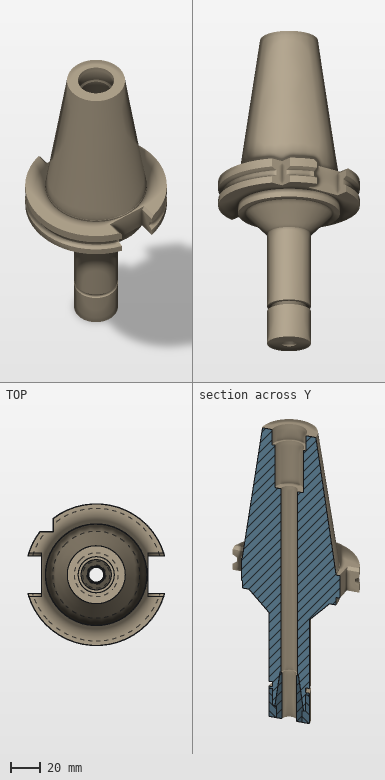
import cadquery as cq
import math


TOTAL_HEIGHT = 221.8

GAUGE_R = 34.8
TAPER_TOP = 101.8
TAPER_RATIO = 7 / 24
TAPER_END_R = GAUGE_R - TAPER_TOP * TAPER_RATIO / 2

COLLAR_R = 35.0
FLANGE_R = 48.8
FLANGE_TOP = -1.3
FLANGE_BOTTOM = -19.0
GROOVE_FLOOR_R = 45.7
GROOVE_MID = -10.9
GROOVE_FLOOR_WIDTH = 3.5
GROOVE_FLANK_ANGLE = 30
GROOVE_MOUTH_WIDTH = GROOVE_FLOOR_WIDTH + 2 * (FLANGE_R - GROOVE_FLOOR_R) * math.tan(
    math.radians(GROOVE_FLANK_ANGLE)
)

SLOT_WIDTH = 25.7
SLOT_CHAMFER = 2.0
SLOT_FLOOR_LEFT = -37.7
SLOT_FLOOR_RIGHT = 35.7
NOTCH_CORNER = 29.7

COLLAR_BOTTOM = -24.8
CONE_TOP_R = 30.0
SHANK_R = 15.0
CONE_BOTTOM = -40.0
NECK_TOP = -93.0
NECK_BOTTOM = -96.2
SHANK_BOTTOM = -98.2
STUB_R = 12.5
STUB_BOTTOM = -110.9

BORE_R = 12.5
BORE_DEPTH = 11.8
THREAD_R = 10.5
THREAD_DEPTH = 44.4
PASSAGE_R = 6.0

NUT_R = SHANK_R
NUT_BOTTOM = TAPER_TOP - TOTAL_HEIGHT
COLLET_TOP = -84.3
COLLET_TOP_R = 6.7
COLLET_SEAT_R = 10.5
COLLET_NOSE_R = 9.3
COLLET_BORE_R = 5.0


def turned(profile):
    """Solid of revolution about Z from a closed outline of (radius, height) points."""
    return cq.Workplane("XZ").polyline(profile).close().revolve(360, (0, 0, 0), (0, 1, 0))


def cylinder(radius, bottom, top):
    return cq.Workplane("XY").workplane(offset=bottom).circle(radius).extrude(top - bottom)


def drive_slot(floor_x):
    """Cutter running outward along X from the slot floor, with its upper edges flared."""
    half = SLOT_WIDTH / 2
    flared = half + SLOT_CHAMFER
    outline = [
        (-half, FLANGE_BOTTOM),
        (half, FLANGE_BOTTOM),
        (half, FLANGE_TOP - SLOT_CHAMFER),
        (flared, FLANGE_TOP),
        (-flared, FLANGE_TOP),
        (-half, FLANGE_TOP - SLOT_CHAMFER),
    ]
    reach = math.copysign(FLANGE_R, floor_x) - floor_x
    return cq.Workplane("YZ").workplane(offset=floor_x).polyline(outline).close().extrude(reach)


def rim_notch():
    """Square cutter whose inner corner is equally far from the X and Y axes."""
    return (
        cq.Workplane("XY")
        .workplane(offset=FLANGE_BOTTOM)
        .moveTo(-FLANGE_R, FLANGE_R)
        .lineTo(-NOTCH_CORNER, FLANGE_R)
        .lineTo(-NOTCH_CORNER, NOTCH_CORNER)
        .lineTo(-FLANGE_R, NOTCH_CORNER)
        .close()
        .extrude(FLANGE_TOP - FLANGE_BOTTOM)
    )


def make_flange():
    """Grooved disc with its drive slots and rim notch cut out."""
    mouth = GROOVE_MOUTH_WIDTH / 2
    floor = GROOVE_FLOOR_WIDTH / 2
    flange = turned([
        (0, FLANGE_BOTTOM),
        (FLANGE_R, FLANGE_BOTTOM),
        (FLANGE_R, GROOVE_MID - mouth),
        (GROOVE_FLOOR_R, GROOVE_MID - floor),
        (GROOVE_FLOOR_R, GROOVE_MID + floor),
        (FLANGE_R, GROOVE_MID + mouth),
        (FLANGE_R, FLANGE_TOP),
        (0, FLANGE_TOP),
    ])
    for floor_x in (SLOT_FLOOR_LEFT, SLOT_FLOOR_RIGHT):
        flange = flange.cut(drive_slot(floor_x))
    return flange.cut(rim_notch())


def collet_envelope():
    """Outer shape of the collet: a cone in the holder, then a straight nose in the nut."""
    return turned([
        (0, COLLET_TOP),
        (COLLET_TOP_R, COLLET_TOP),
        (COLLET_SEAT_R, STUB_BOTTOM),
        (COLLET_NOSE_R, STUB_BOTTOM),
        (COLLET_NOSE_R, NUT_BOTTOM),
        (0, NUT_BOTTOM),
    ])


def make_holder():
    """Taper, flange and shank in one piece, bored through and seated for the collet."""
    core = turned([
        (0, STUB_BOTTOM),
        (STUB_R, STUB_BOTTOM),
        (STUB_R, SHANK_BOTTOM),
        (SHANK_R, SHANK_BOTTOM),
        (SHANK_R, NECK_BOTTOM),
        (STUB_R, NECK_BOTTOM),
        (STUB_R, NECK_TOP),
        (SHANK_R, NECK_TOP),
        (SHANK_R, CONE_BOTTOM),
        (CONE_TOP_R, COLLAR_BOTTOM),
        (COLLAR_R, COLLAR_BOTTOM),
        (COLLAR_R, 0),
        (GAUGE_R, 0),
        (TAPER_END_R, TAPER_TOP),
        (0, TAPER_TOP),
    ])
    holder = core.union(make_flange())
    holder = holder.cut(cylinder(BORE_R, TAPER_TOP - BORE_DEPTH, TAPER_TOP))
    holder = holder.cut(cylinder(THREAD_R, TAPER_TOP - THREAD_DEPTH, TAPER_TOP))
    holder = holder.cut(cylinder(PASSAGE_R, COLLET_TOP, TAPER_TOP))
    return holder.cut(collet_envelope())


def make_nut():
    """Cap over the stub, butting against the shank end, open at the bottom for the collet."""
    return turned([
        (COLLET_NOSE_R, NUT_BOTTOM),
        (NUT_R, NUT_BOTTOM),
        (NUT_R, SHANK_BOTTOM),
        (STUB_R, SHANK_BOTTOM),
        (STUB_R, STUB_BOTTOM),
        (COLLET_NOSE_R, STUB_BOTTOM),
    ])


def make_collet():
    """Collet with a straight through bore, flush with the bottom of the nut."""
    return collet_envelope().cut(cylinder(COLLET_BORE_R, NUT_BOTTOM, COLLET_TOP))


holder = make_holder()
nut = make_nut()
collet = make_collet()

result = cq.Compound.makeCompound([body.solids().val() for body in (holder, nut, collet)])